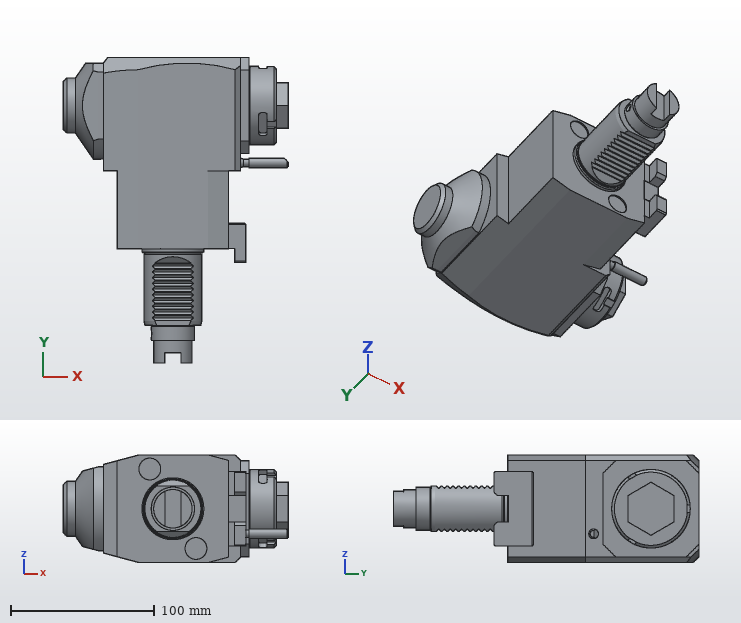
import cadquery as cq
import math

SPINDLE_Y = 100.0

HALF_HEIGHT = 37.5
HOUSING_END_Y = 133.5
STEP_Y = 54.5
BASE_HALF_WIDTH = 38.8
HEAD_LEFT_X = -48.5
HEAD_RIGHT_X = 47.2
SLOPE = math.tan(math.radians(15))
LEFT_SLOPE_X = -24.0
RIGHT_SLOPE_X = 24.6
HEAD_EDGE_CHAMFER = 3.8
CORNER_CHAMFER_X = 3.0
CORNER_CHAMFER_Y = 3.9

CROWN_X = 9.7
CROWN_RADIUS = 125.0
CROWN_CHAMFER = 3.9
CROWN_TOP_Y = HOUSING_END_Y - CROWN_CHAMFER

RECESS_RADIUS = 7.6
RECESS_DEPTH = 1.0
RECESS_X = 16.1
RECESS_Z = 27.7

COVER_RADIUS = 37.5
COVER_FLAT_Z = 29.4
COVER_SLOPE_X = -51.6
COVER_CORNER = 6.4
CONE_START_X = -55.4
CONE_END_X = -67.9
CAP_RADIUS = 19.3
CAP_END_X = -76.5
CAP_CHAMFER = 2.6

PLATE_END_X = 53.1
PLATE_HALF_SIZE = 33.6
PLATE_CORNER = 9.0
NUT_RADIUS = 27.4
NUT_END_X = 72.4
NUT_CHAMFER = 1.9
HEX_ACROSS_FLATS = 32.0
HEX_END_X = 80.5
NUT_SLOT_COUNT = 3
NUT_SLOT_X = 62.8
NUT_SLOT_WIDTH = 5.9
NUT_SLOT_LENGTH = 18.4
NUT_SLOT_END_RADIUS = 2.0
NUT_SLOT_FLOOR = 22.4
NUT_NOTCH_WIDTH = 5.4
NUT_NOTCH_FLOOR = 25.2
NUT_SLOT_FIRST_ANGLE = 30.0

NUT_GROOVE_WIDTH = 0.7
NUT_GROOVE_RADIUS = 26.8

PIN_Y = 60.0
PIN_Z = -17.5
PIN_RADIUS = 3.4
PIN_NECK_RADIUS = 2.7
PIN_FLARE_END_X = 49.2
PIN_BODY_START_X = 53.0
PIN_TIP_CHAMFER = 1.0
PIN_BEVEL = 3.0

BRACKET_HALF_HEIGHT = 26.1
BRACKET_END_X = 50.9
BRACKET_DEPTH = 18.0
LUG_START_X = 43.0
LUG_LENGTH = 9.5
LUG_GAP_HALF = 9.2
BRACKET_CHAMFER = 1.0
BRACKET_INSET = 0.3
LUG_INNER_CHAMFER = 2.4

COLLAR_RADIUS = 21.6
COLLAR_END = 2.8
COLLAR_CHAMFER = 0.8
RELIEF_RADIUS = 19.7
RELIEF_END = 3.8
SHANK_RADIUS = 20.2
SHANK_END = 53.2
SHANK_TIP_TAPER = 2.8
SHANK_TIP_INSET = 0.7
NECK_RADIUS = 14.0
NECK_LENGTH = 0.8
JOURNAL_RADIUS = 15.1
JOURNAL_END = 63.8
DRIVE_RADIUS = 13.4
DRIVE_END = 79.5
DRIVE_SLOT_WIDTH = 11.0
DRIVE_SLOT_DEPTH = 7.0

FLAT_Z = 15.9
TOOTH_COUNT = 10
TOOTH_PITCH = 4.0
TOOTH_DEPTH = 1.7
FIRST_ROOT = 12.0

SCREW_DISTANCE = 59.0
SCREW_DIAMETER = 3.0
SCREW_SINK_DIAMETER = 5.6
SCREW_DEPTH = 6.0


def box(x0, x1, y0, y1, z0, z1):
    """Box between two opposite corners."""
    return cq.Workplane("XY").box(x1 - x0, y1 - y0, z1 - z0, centered=False).translate((x0, y0, z0))


def along_x(profile_x, y=SPINDLE_Y, z=0.0):
    """YZ workplane at the given X, centred on an axis parallel to X."""
    return cq.Workplane("YZ", origin=(profile_x, y, z))


def turned_about_x(points, y, z):
    """Solid of revolution about an X-parallel axis from (x, radius) points."""
    profile = cq.Workplane("XY").polyline(points).close()
    return profile.revolve(360, (0, 0, 0), (1, 0, 0)).translate((0, y, z))


def slope_drop(distance):
    """Height lost along a sloping side face."""
    return distance * SLOPE


def crown():
    """Double cone that bevels the +Y end, largest in radius at mid height."""
    mid_radius = CROWN_RADIUS + HALF_HEIGHT
    points = [
        (0, -HALF_HEIGHT),
        (CROWN_RADIUS, -HALF_HEIGHT),
        (mid_radius, 0),
        (CROWN_RADIUS, HALF_HEIGHT),
        (0, HALF_HEIGHT),
    ]
    profile = cq.Workplane("XZ").polyline(points).close()
    cone = profile.revolve(360, (0, 0, 0), (0, 1, 0))
    return cone.translate((CROWN_X, CROWN_TOP_Y - CROWN_RADIUS, 0))


def head():
    left_z = HALF_HEIGHT - slope_drop(LEFT_SLOPE_X - HEAD_LEFT_X)
    right_x = HEAD_RIGHT_X - HEAD_EDGE_CHAMFER
    right_z = HALF_HEIGHT - HEAD_EDGE_CHAMFER
    section = [
        (HEAD_LEFT_X, -left_z),
        (LEFT_SLOPE_X, -HALF_HEIGHT),
        (right_x, -HALF_HEIGHT),
        (HEAD_RIGHT_X, -right_z),
        (HEAD_RIGHT_X, right_z),
        (right_x, HALF_HEIGHT),
        (LEFT_SLOPE_X, HALF_HEIGHT),
        (HEAD_LEFT_X, left_z),
    ]
    block = cq.Workplane("XZ", origin=(0, STEP_Y, 0)).polyline(section).close()
    block = block.extrude(STEP_Y - HOUSING_END_Y)
    corner = [
        (HEAD_LEFT_X, HOUSING_END_Y),
        (HEAD_LEFT_X + CORNER_CHAMFER_X, HOUSING_END_Y),
        (HEAD_LEFT_X, HOUSING_END_Y - CORNER_CHAMFER_Y),
    ]
    corner_cut = cq.Workplane("XY").polyline(corner).close().extrude(HALF_HEIGHT, both=True)
    return block.cut(corner_cut).intersect(crown())


def base():
    left_z = HALF_HEIGHT - slope_drop(LEFT_SLOPE_X + BASE_HALF_WIDTH)
    right_z = HALF_HEIGHT - slope_drop(BASE_HALF_WIDTH - RIGHT_SLOPE_X)
    section = [
        (-BASE_HALF_WIDTH, -left_z),
        (LEFT_SLOPE_X, -HALF_HEIGHT),
        (RIGHT_SLOPE_X, -HALF_HEIGHT),
        (BASE_HALF_WIDTH, -right_z),
        (BASE_HALF_WIDTH, right_z),
        (RIGHT_SLOPE_X, HALF_HEIGHT),
        (LEFT_SLOPE_X, HALF_HEIGHT),
        (-BASE_HALF_WIDTH, left_z),
    ]
    block = cq.Workplane("XZ").polyline(section).close().extrude(-STEP_Y)
    recesses = cq.Workplane("XZ").pushPoints([(-RECESS_X, RECESS_Z), (RECESS_X, -RECESS_Z)])
    return block.cut(recesses.circle(RECESS_RADIUS).extrude(-RECESS_DEPTH))


def rear_cover():
    cover_points = [
        (HEAD_LEFT_X, 0),
        (HEAD_LEFT_X, COVER_RADIUS),
        (CONE_START_X, COVER_RADIUS),
        (CONE_END_X, CAP_RADIUS),
        (CONE_END_X, 0),
    ]
    end_z = COVER_FLAT_Z - slope_drop(COVER_SLOPE_X - CONE_END_X)
    envelope_section = [
        (HEAD_LEFT_X, -COVER_FLAT_Z),
        (HEAD_LEFT_X, COVER_FLAT_Z),
        (COVER_SLOPE_X, COVER_FLAT_Z),
        (CONE_END_X, end_z),
        (CONE_END_X, -end_z),
        (COVER_SLOPE_X, -COVER_FLAT_Z),
    ]
    envelope = cq.Workplane("XZ", origin=(0, STEP_Y, 0)).polyline(envelope_section).close()
    envelope = envelope.extrude(STEP_Y - CROWN_TOP_Y)
    frame = box(CONE_END_X, HEAD_LEFT_X, STEP_Y, CROWN_TOP_Y, -COVER_FLAT_Z, COVER_FLAT_Z)
    frame = frame.faces(">Y").edges("|X").chamfer(COVER_CORNER)
    cover = turned_about_x(cover_points, SPINDLE_Y, 0).intersect(envelope).intersect(frame)
    cap = along_x(CAP_END_X).circle(CAP_RADIUS).extrude(HEAD_LEFT_X - CAP_END_X)
    return cover.union(cap.faces("<X").chamfer(CAP_CHAMFER))


def nut_slot(angle):
    """Round-cornered wrench slot with a notch running out to the nut's end face."""
    slot = cq.Workplane("XY", origin=(NUT_SLOT_X, 0, NUT_SLOT_FLOOR))
    slot = slot.rect(NUT_SLOT_WIDTH, NUT_SLOT_LENGTH).extrude(NUT_RADIUS - NUT_SLOT_FLOOR)
    slot = slot.edges("|Z").fillet(NUT_SLOT_END_RADIUS)
    half_notch = NUT_NOTCH_WIDTH / 2
    notch = box(NUT_SLOT_X, NUT_END_X, -half_notch, half_notch, NUT_NOTCH_FLOOR, NUT_RADIUS)
    cutter = slot.union(notch).rotate((0, 0, 0), (1, 0, 0), angle)
    return cutter.translate((0, SPINDLE_Y, 0))


def spindle_nose():
    plate_size = 2 * PLATE_HALF_SIZE
    plate = along_x(HEAD_RIGHT_X).rect(plate_size, plate_size).extrude(PLATE_END_X - HEAD_RIGHT_X)
    plate = plate.edges("|X").chamfer(PLATE_CORNER)
    plate = plate.intersect(
        box(HEAD_RIGHT_X, PLATE_END_X, 0, HOUSING_END_Y, -HALF_HEIGHT, HALF_HEIGHT)
    )
    nut = along_x(HEAD_RIGHT_X).circle(NUT_RADIUS).extrude(NUT_END_X - HEAD_RIGHT_X)
    nut = nut.faces(">X").chamfer(NUT_CHAMFER)
    groove = along_x(PLATE_END_X).circle(NUT_RADIUS).circle(NUT_GROOVE_RADIUS).extrude(NUT_GROOVE_WIDTH)
    nut = nut.cut(groove)
    for index in range(NUT_SLOT_COUNT):
        nut = nut.cut(nut_slot(NUT_SLOT_FIRST_ANGLE + index * 360 / NUT_SLOT_COUNT))
    hexagon = along_x(HEAD_RIGHT_X).polygon(6, HEX_ACROSS_FLATS, circumscribed=True)
    hexagon = hexagon.extrude(HEX_END_X - HEAD_RIGHT_X)
    return plate.union(nut).union(hexagon)


def coolant_pin():
    points = [
        (HEAD_RIGHT_X, 0),
        (HEAD_RIGHT_X, PIN_RADIUS),
        (PIN_FLARE_END_X, PIN_NECK_RADIUS),
        (PIN_BODY_START_X, PIN_NECK_RADIUS),
        (PIN_BODY_START_X, PIN_RADIUS),
        (HEX_END_X - PIN_TIP_CHAMFER, PIN_RADIUS),
        (HEX_END_X, PIN_RADIUS - PIN_TIP_CHAMFER),
        (HEX_END_X, 0),
    ]
    pin = turned_about_x(points, PIN_Y, PIN_Z)
    pin_top = PIN_Y + PIN_RADIUS
    bevel = [(HEX_END_X, pin_top), (HEX_END_X - PIN_BEVEL, pin_top), (HEX_END_X, pin_top - PIN_BEVEL)]
    bevel_cut = cq.Workplane("XY", origin=(0, 0, PIN_Z)).polyline(bevel).close()
    return pin.cut(bevel_cut.extrude(PIN_RADIUS, both=True))


def bracket():
    half = BRACKET_HALF_HEIGHT
    body = box(BASE_HALF_WIDTH, BRACKET_END_X, BRACKET_INSET, BRACKET_DEPTH, -half, half)
    body = body.faces(">Y").edges(">X or >Z or <Z").chamfer(BRACKET_CHAMFER)
    recess = box(
        BASE_HALF_WIDTH, BRACKET_END_X, BRACKET_INSET, 2 * BRACKET_INSET, -LUG_GAP_HALF, LUG_GAP_HALF
    )
    lug = box(LUG_START_X, BRACKET_END_X, -LUG_LENGTH, BRACKET_INSET, LUG_GAP_HALF, half)
    lug = lug.faces("<Y").edges(">Z").chamfer(BRACKET_CHAMFER)
    lug = lug.faces("<Y").edges("<Z").chamfer(LUG_INNER_CHAMFER)
    return body.cut(recess).union(lug).union(lug.mirror("XY"))


def shank():
    collar_rim = COLLAR_RADIUS - COLLAR_CHAMFER
    points = [
        (0, 0),
        (COLLAR_RADIUS, 0),
        (COLLAR_RADIUS, -COLLAR_END + COLLAR_CHAMFER),
        (collar_rim, -COLLAR_END),
        (RELIEF_RADIUS, -COLLAR_END),
        (RELIEF_RADIUS, -RELIEF_END),
        (SHANK_RADIUS, -RELIEF_END),
        (SHANK_RADIUS, -SHANK_END + SHANK_TIP_TAPER),
        (SHANK_RADIUS - SHANK_TIP_INSET, -SHANK_END),
        (NECK_RADIUS, -SHANK_END),
        (NECK_RADIUS, -SHANK_END - NECK_LENGTH),
        (JOURNAL_RADIUS, -SHANK_END - NECK_LENGTH),
        (JOURNAL_RADIUS, -JOURNAL_END),
        (DRIVE_RADIUS, -JOURNAL_END),
        (DRIVE_RADIUS, -DRIVE_END),
        (0, -DRIVE_END),
    ]
    body = cq.Workplane("XY").polyline(points).close().revolve(360, (0, 0, 0), (0, 1, 0))
    teeth = toothed_flat_cut()
    body = body.cut(teeth).cut(teeth.mirror("XY"))
    half_slot = DRIVE_SLOT_WIDTH / 2
    slot_floor = -DRIVE_END + DRIVE_SLOT_DEPTH
    body = body.cut(box(-half_slot, half_slot, -DRIVE_END, slot_floor, -DRIVE_RADIUS, DRIVE_RADIUS))
    return body.cut(screw_hole())


def toothed_flat_cut():
    """Material above one flat: a 45 degree run-in, then V grooves down to the roots."""
    flat_start = FIRST_ROOT - TOOTH_PITCH + TOOTH_DEPTH
    run_in = flat_start - (SHANK_RADIUS - FLAT_Z)
    points = [(-SHANK_END, SHANK_RADIUS), (-run_in, SHANK_RADIUS), (-flat_start, FLAT_Z)]
    for index in range(TOOTH_COUNT):
        root = -FIRST_ROOT - index * TOOTH_PITCH
        points.append((root + TOOTH_DEPTH, FLAT_Z))
        points.append((root, FLAT_Z - TOOTH_DEPTH))
        points.append((root - TOOTH_DEPTH, FLAT_Z))
    points.append((-SHANK_END, FLAT_Z))
    return cq.Workplane("YZ").polyline(points).close().extrude(SHANK_RADIUS, both=True)


def screw_hole():
    sink = (SCREW_SINK_DIAMETER - SCREW_DIAMETER) / 2
    points = [
        (-JOURNAL_RADIUS, 0),
        (-JOURNAL_RADIUS, SCREW_SINK_DIAMETER / 2),
        (-JOURNAL_RADIUS + sink, SCREW_DIAMETER / 2),
        (-JOURNAL_RADIUS + SCREW_DEPTH, SCREW_DIAMETER / 2),
        (-JOURNAL_RADIUS + SCREW_DEPTH, 0),
    ]
    return turned_about_x(points, -SCREW_DISTANCE, 0)


result = head().union(base())
for feature in (rear_cover(), spindle_nose(), coolant_pin(), bracket(), shank()):
    result = result.union(feature)